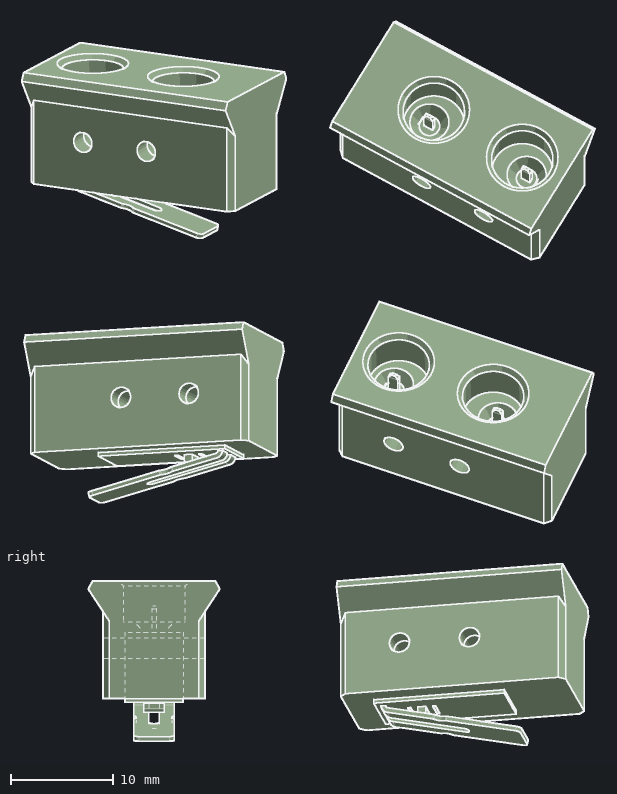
import cadquery as cq
import math

length = 22.5
block_width = 10.0
housing_height = 11.52
corner_chamfer = 0.6

rail_top_width = 12.02
rail_width = 12.9
rail_edge_depth = 0.79
rail_bottom_width = block_width - 2 * corner_chamfer
rail_depth = 3.92

switch_x = -1.75
bore_pitch = 10.0
bore_diameter = 6.0
bore_chamfer = 0.5
bore_depth = 4.0
terminal_pitch = 10.98
cone_top_diameter = 3.82
cone_bottom_diameter = 2.0
cone_depth = 1.04

cross_hole_diameter = 2.0
cross_hole_pitch = 7.0
cross_hole_z = 4.95

case_length = 13.05
case_width = 5.72
case_drop = 0.35
case_top_z = housing_height - bore_depth - cone_depth

terminal_length = 1.0
terminal_thickness = 0.45
terminal_height = 2.63
tip_length = 0.38
tip_thickness = 0.27
tip_height = 0.34

plunger_x = -3.87
plunger_thickness = 0.79
plunger_width = 2.0
rib_offset = 1.24
rib_thickness = 0.27
rib_height = 0.07

lever_left_x = -7.75
lever_width = 4.0
lever_thickness = 0.47
lever_angle = 13.1
lever_bend_radius = 0.79
lever_tip_x = 6.15
lever_tip_z = -4.16
lever_tip_radius = 0.5
slot_width = 1.0
slot_end_x = 0.68
notch_x = -1.94
notch_length = 1.22
notch_depth = 0.25
notch_mouth_radius = 0.22

case_bottom_z = -case_drop
slope = math.tan(math.radians(lever_angle))
axis_x = math.cos(math.radians(lever_angle))
axis_z = -math.sin(math.radians(lever_angle))


def pair(center, pitch):
    """Two positions spaced evenly about a centre."""
    return [center - pitch / 2, center + pitch / 2]


def cross_holes():
    """Two long cylinders along Y."""
    points = [(x, cross_hole_z) for x in pair(switch_x, cross_hole_pitch)]
    return (
        cq.Workplane("XZ").pushPoints(points).circle(cross_hole_diameter / 2)
        .extrude(block_width, both=True)
    )


def switch_box():
    """Outer box of the switch case, also the shape of its pocket."""
    return (
        cq.Workplane("XY", origin=(switch_x, 0, case_bottom_z))
        .rect(case_length, case_width).extrude(case_top_z - case_bottom_z)
    )


def make_block():
    """Main block of the housing, with chamfered upright corners."""
    return (
        cq.Workplane("XY").rect(length, block_width).extrude(housing_height - rail_edge_depth)
        .edges("|Z").chamfer(corner_chamfer)
    )


def make_rail():
    """Dovetail rail, wider than the block along both long sides."""
    top = housing_height
    edge = top - rail_edge_depth
    bottom = top - rail_depth
    profile = [
        (-rail_bottom_width / 2, bottom),
        (rail_bottom_width / 2, bottom),
        (rail_width / 2, edge),
        (rail_top_width / 2, top),
        (-rail_top_width / 2, top),
        (-rail_width / 2, edge),
    ]
    return cq.Workplane("YZ").polyline(profile).close().extrude(length / 2, both=True)


def bore_cutter(x):
    """Bore with a 45 degree mouth, turned about its own axis."""
    radius = bore_diameter / 2
    profile = [
        (0, -bore_depth),
        (radius, -bore_depth),
        (radius, -bore_chamfer),
        (radius + bore_chamfer, 0),
        (0, 0),
    ]
    cutter = cq.Workplane("XZ").polyline(profile).close().revolve(360, (0, 0), (0, 1))
    return cutter.translate((x, 0, housing_height))


def cone_cutter(x):
    """Conical opening from the bore floor down to the switch case."""
    return (
        cq.Workplane("XY", origin=(x, 0, case_top_z)).circle(cone_bottom_diameter / 2)
        .workplane(offset=cone_depth).circle(cone_top_diameter / 2).loft()
    )


def make_housing():
    """Block and rail with bores, switch pocket and cross holes."""
    housing = make_block().union(make_rail())
    for x in pair(switch_x, bore_pitch):
        housing = housing.cut(bore_cutter(x))
    for x in pair(switch_x, terminal_pitch):
        housing = housing.cut(cone_cutter(x))
    return housing.cut(switch_box()).cut(cross_holes())


def make_terminal(x):
    """Blade with a tip that tapers on all four sides."""
    shoulder_z = case_top_z + terminal_height - tip_height
    blade = (
        cq.Workplane("XY", origin=(x, 0, case_top_z))
        .rect(terminal_length, terminal_thickness).extrude(shoulder_z - case_top_z)
    )
    tip = (
        cq.Workplane("XY", origin=(x, 0, shoulder_z)).rect(terminal_length, terminal_thickness)
        .workplane(offset=tip_height).rect(tip_length, tip_thickness).loft()
    )
    return blade.union(tip)


def lever_top_z(x):
    """Height of the lever's upper face."""
    return lever_tip_z + (lever_tip_x - x) * slope + lever_thickness / axis_x


def make_plunger():
    """Plunger with a half-round end that rests on the lever."""
    radius = plunger_thickness / 2
    end_center_z = lever_top_z(plunger_x) + radius / axis_x
    left = plunger_x - radius
    right = plunger_x + radius
    return (
        cq.Workplane("XZ").moveTo(left, case_bottom_z).lineTo(left, end_center_z)
        .threePointArc((plunger_x, end_center_z - radius), (right, end_center_z))
        .lineTo(right, case_bottom_z).close().extrude(plunger_width / 2, both=True)
    )


def make_ribs():
    """Low ribs on the underside of the case."""
    points = [(x, 0) for x in pair(plunger_x, 2 * rib_offset)]
    return (
        cq.Workplane("XY", origin=(0, 0, case_bottom_z)).pushPoints(points)
        .rect(rib_thickness, plunger_width).extrude(-rib_height)
    )


def make_switch():
    """Switch case with its terminals, plunger and ribs."""
    switch = switch_box().cut(cross_holes())
    for x in pair(switch_x, terminal_pitch):
        switch = switch.union(make_terminal(x))
    return switch.union(make_plunger()).union(make_ribs())


def lever_strip():
    """Side outline of the lever, with concentric arcs round the bend."""
    turn = math.radians(90 - lever_angle)
    inner_radius = lever_bend_radius - lever_thickness
    underside_at_left = lever_tip_z + (lever_tip_x - lever_left_x) * slope
    center_x = lever_left_x + lever_bend_radius
    center_z = underside_at_left + lever_bend_radius * math.tan(turn / 2)

    def on_bend(radius, angle):
        return (center_x - radius * math.cos(angle), center_z - radius * math.sin(angle))

    tip_top = (lever_tip_x - lever_thickness * axis_z, lever_tip_z + lever_thickness * axis_x)
    return (
        cq.Workplane("XZ").moveTo(*on_bend(lever_bend_radius, 0))
        .threePointArc(on_bend(lever_bend_radius, turn / 2), on_bend(lever_bend_radius, turn))
        .lineTo(lever_tip_x, lever_tip_z).lineTo(*tip_top)
        .lineTo(*on_bend(inner_radius, turn))
        .threePointArc(on_bend(inner_radius, turn / 2), on_bend(inner_radius, 0))
        .close().extrude(lever_width / 2, both=True)
    )


def lever_plane(x):
    """Workplane in the lever's underside, with its own X along the lever."""
    z = lever_tip_z + (lever_tip_x - x) * slope
    plane = cq.Plane(origin=(x, 0, z), xDir=(axis_x, 0, axis_z), normal=(-axis_z, 0, axis_x))
    return cq.Workplane(plane)


def slot_cutter():
    """Slot from beyond the bend to a half-round end."""
    reach = (slot_end_x - lever_left_x) / axis_x + slot_width
    return (
        lever_plane(slot_end_x).center(-reach / 2, 0).slot2D(reach, slot_width)
        .extrude(lever_width, both=True)
    )


def notch_cutter(side):
    """Shallow round notch in one edge of the lever."""
    edge = side * lever_width / 2
    return (
        lever_plane(notch_x).moveTo(-notch_length / 2, edge)
        .threePointArc((0, edge - side * notch_depth), (notch_length / 2, edge)).close()
        .extrude(lever_width, both=True)
    )


def edges_through_lever(x, reach):
    """Selector for the edges square to the lever's faces, within a reach of x along it."""
    middle = lever_plane(x).plane
    corner = cq.Vector(reach, lever_width, reach)
    near = cq.selectors.BoxSelector(
        (middle.origin - corner).toTuple(), (middle.origin + corner).toTuple()
    )
    return near & cq.selectors.ParallelDirSelector(middle.zDir)


def make_lever():
    """Lever that meets the underside of the switch case."""
    lever = lever_strip()
    for side in (-1, 1):
        lever = lever.cut(notch_cutter(side))
    lever = lever.edges(edges_through_lever(notch_x, notch_length)).fillet(notch_mouth_radius)
    lever = lever.edges(edges_through_lever(lever_tip_x, lever_thickness)).fillet(lever_tip_radius)
    above_case_bottom = (
        cq.Workplane("XY", origin=(0, 0, case_bottom_z)).rect(length, length).extrude(length)
    )
    return lever.cut(slot_cutter()).cut(above_case_bottom)


housing = make_housing()
switch = make_switch()
lever = make_lever()

result = cq.Compound.makeCompound([
    housing.solids().val(),
    switch.solids().val(),
    lever.solids().val(),
])